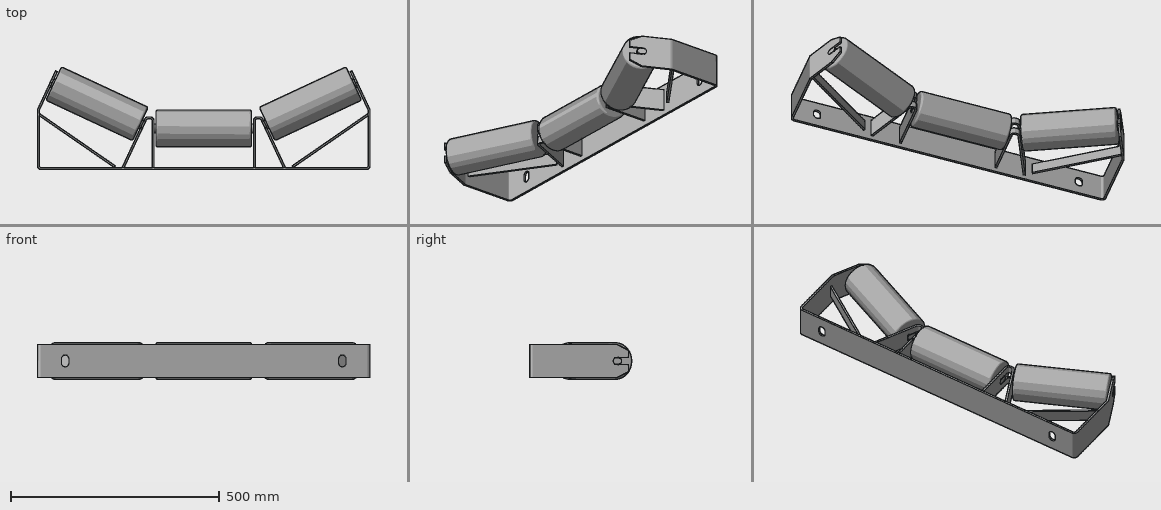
import cadquery as cq
import math


frame_length = 800.0
overall_depth = 245.58
strip_width = 80.0
plate_thickness = 5.0
bend_radius = 10.0
trough_angle = 25.0

roller_diameter = 89.0
roller_length = 230.0
roller_fillet = 5.0
spindle_diameter = 22.0
spindle_flats = 14.0
roller_gap = 4.0

cradle_slot_width = 17.0
cradle_slot_length = 60.0

axis_along_arm = 74.0
arm_beyond_axis = 30.0
arm_corner_length = 30.0
arm_corner_width = 14.0
bolt_slot_spacing = 666.0
bolt_slot_width = 18.0
bolt_slot_height = 28.0

support_width = 54.0
support_top = 127.0
middle_axis_y = 99.0

brace_thickness = 5.0
brace_width = 30.0
brace_angle = 34.6
brace_foot_x = -215.0

roller_radius = roller_diameter / 2
spindle_radius = spindle_diameter / 2
sin_trough = math.sin(math.radians(trough_angle))
cos_trough = math.cos(math.radians(trough_angle))
arm_direction = (sin_trough, cos_trough)
axis_direction = (cos_trough, -sin_trough)
span_inside = roller_length + 2 * roller_gap
span_outside = span_inside + 2 * plate_thickness

corner_y_from_fold = (
    axis_along_arm * cos_trough
    - (plate_thickness + roller_gap + roller_fillet) * sin_trough
    + (roller_radius - roller_fillet) * cos_trough
    + roller_fillet
)
fold = (-frame_length / 2, overall_depth - corner_y_from_fold)


def moved(point, direction, distance):
    return (point[0] + direction[0] * distance, point[1] + direction[1] * distance)


side_axis_start = moved(fold, arm_direction, axis_along_arm)
side_axis_middle = moved(side_axis_start, axis_direction, span_outside / 2)
arm_tip = moved(fold, arm_direction, axis_along_arm + arm_beyond_axis)


def offset_corner(before, corner, after, distance):
    """Corner of a path shifted to its right-hand side."""
    angle_in = math.atan2(corner[1] - before[1], corner[0] - before[0])
    angle_out = math.atan2(after[1] - corner[1], after[0] - corner[0])
    middle = (angle_in + angle_out) / 2
    reach = distance / math.cos((angle_out - angle_in) / 2)
    return moved(corner, (math.sin(middle), -math.cos(middle)), reach)


def bent_strip(width, outside, start_inside, end_inside):
    """Strip whose outside face follows the path, with every bend rounded."""
    corners = range(1, len(outside) - 1)
    inside = [
        offset_corner(outside[i - 1], outside[i], outside[i + 1], -plate_thickness)
        for i in corners
    ]
    outline = outside + [end_inside] + inside[::-1] + [start_inside]
    strip = cq.Workplane("XY").polyline(outline).close().extrude(width / 2, both=True)
    for i in corners:
        for point, radius in (
            (outside[i], bend_radius),
            (inside[i - 1], bend_radius - plate_thickness),
        ):
            edge = cq.selectors.NearestToPointSelector((point[0], point[1], 0))
            strip = strip.edges("|Z").edges(edge).fillet(radius)
    return strip


def across_axis(center, direction):
    """Plane across a roller axis; its local X is -Z, its local Y points outwards."""
    return cq.Workplane(
        cq.Plane(
            origin=(center[0], center[1], 0),
            xDir=(0, 0, -1),
            normal=(direction[0], direction[1], 0),
        )
    )


def cradle_slot(center, direction, reach):
    """Cutter for an open slot with a round bottom, on which the spindle rests."""
    half_width = cradle_slot_width / 2
    arc_end = half_width - spindle_radius
    return (
        across_axis(center, direction)
        .moveTo(-half_width, cradle_slot_length)
        .lineTo(-half_width, arc_end)
        .threePointArc((0, -spindle_radius), (half_width, arc_end))
        .lineTo(half_width, cradle_slot_length)
        .close()
        .extrude(reach, both=True)
    )


def arm_corner(edge_side):
    """Cutter that slants one corner of the arm's end, at its +Z or -Z edge."""
    edge = edge_side * strip_width / 2
    return (
        across_axis(arm_tip, axis_direction)
        .polyline(
            [(edge, 0), (edge - edge_side * arm_corner_width, 0), (edge, -arm_corner_length)]
        )
        .close()
        .extrude(2 * plate_thickness, both=True)
    )


def on_side(body, side):
    """The body itself at negative X (side -1), or its mirror image (side 1)."""
    return body if side < 0 else body.mirror("YZ")


def build_frame():
    tip_inside = moved(arm_tip, axis_direction, plate_thickness)
    outside = [
        arm_tip,
        fold,
        (-frame_length / 2, 0),
        (frame_length / 2, 0),
        (-fold[0], fold[1]),
        (-arm_tip[0], arm_tip[1]),
    ]
    frame = bent_strip(strip_width, outside, tip_inside, (-tip_inside[0], tip_inside[1]))
    slot = cradle_slot(side_axis_start, axis_direction, 2 * plate_thickness)
    for side in (-1, 1):
        for cutter in (slot, arm_corner(-1), arm_corner(1)):
            frame = frame.cut(on_side(cutter, side))
    bolt_slots = (
        cq.Workplane("XZ")
        .pushPoints([(-bolt_slot_spacing / 2, 0), (bolt_slot_spacing / 2, 0)])
        .slot2D(bolt_slot_height, bolt_slot_width, 90)
        .extrude(2 * plate_thickness, both=True)
    )
    return frame.cut(bolt_slots)


def build_support(side):
    """Wedge with one leg across the side roller and one across the middle roller."""
    side_face = moved(side_axis_middle, axis_direction, span_inside / 2)
    middle_face_x = -span_inside / 2

    def on_side_face(y, depth):
        """Point at height y on the sloping leg, at a depth from its outside face."""
        return (side_face[0] + depth / cos_trough + (y - side_face[1]) * sin_trough / cos_trough, y)

    base = plate_thickness
    outside = [
        (middle_face_x, base),
        (middle_face_x, support_top),
        on_side_face(support_top, 0),
        on_side_face(base, 0),
    ]
    support = bent_strip(
        support_width,
        outside,
        (middle_face_x - plate_thickness, base),
        on_side_face(base, plate_thickness),
    )
    middle_cradle = ((middle_face_x, middle_axis_y), (1, 0))
    side_cradle = (side_face, axis_direction)
    for center, direction in (middle_cradle, side_cradle):
        support = support.cut(cradle_slot(center, direction, 6 * plate_thickness))
    return on_side(support, side)


def build_brace(side):
    """Flat bar from the base strip up to the frame's side wall."""
    slope = math.radians(brace_angle)
    wall_x = -frame_length / 2 + plate_thickness
    foot = (brace_foot_x, plate_thickness)
    foot_top = moved(foot, (math.sin(slope), math.cos(slope)), brace_thickness)
    brace = (
        cq.Workplane("XY")
        .polyline(
            [
                foot,
                foot_top,
                (wall_x, foot_top[1] + (foot_top[0] - wall_x) * math.tan(slope)),
                (wall_x, foot[1] + (foot[0] - wall_x) * math.tan(slope)),
            ]
        )
        .close()
        .extrude(brace_width / 2, both=True)
    )
    return on_side(brace, side)


def build_roller(center, direction):
    """Roller with its spindle, whose flattened ends fill the plate thickness."""

    def across_start(length):
        """Plane across the axis at the start of a length centred on the roller."""
        return across_axis(center, direction).workplane(offset=-length / 2)

    roller = (
        across_start(roller_length)
        .circle(roller_radius)
        .extrude(roller_length)
        .edges("%CIRCLE")
        .fillet(roller_fillet)
    )
    hub = across_start(span_inside).circle(spindle_radius).extrude(span_inside)
    flat_bar = (
        across_start(span_outside).rect(spindle_flats, spindle_diameter).extrude(span_outside)
    )
    spindle = (
        across_start(span_outside)
        .circle(spindle_radius)
        .extrude(span_outside)
        .intersect(flat_bar)
        .intersect(cradle_slot(center, direction, span_outside))
    )
    return roller.union(hub).union(spindle)


frame = build_frame()
supports = [build_support(side) for side in (-1, 1)]
braces = [build_brace(side) for side in (-1, 1)]
rollers = [
    build_roller(side_axis_middle, axis_direction),
    build_roller((0, middle_axis_y), (1, 0)),
    build_roller((-side_axis_middle[0], side_axis_middle[1]), (cos_trough, sin_trough)),
]
result = cq.Compound.makeCompound(
    [body.val() for body in [frame, *supports, *braces, *rollers]]
)